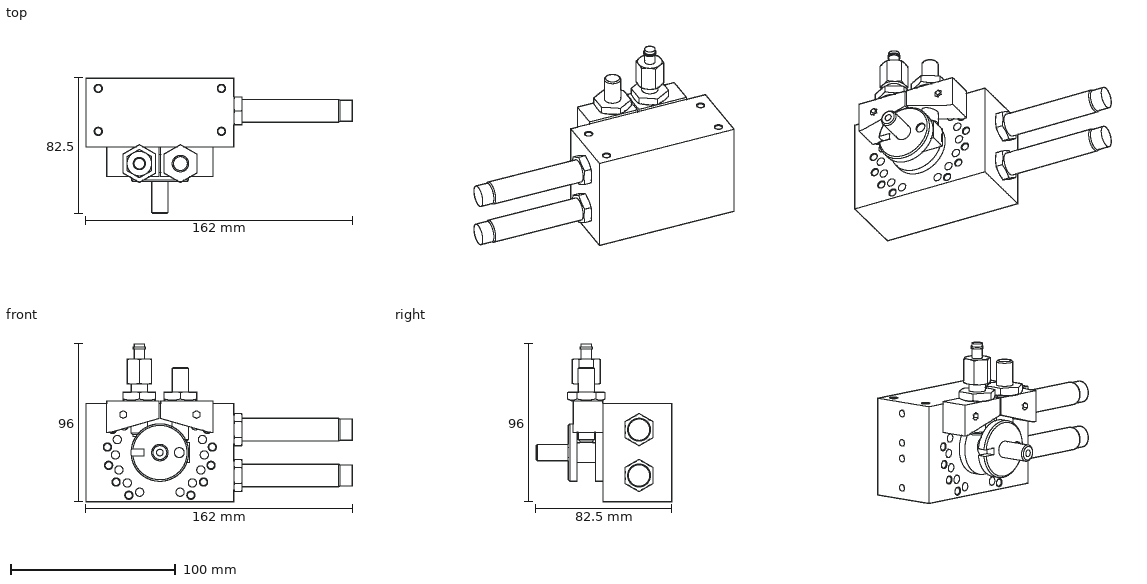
import cadquery as cq
import math


TOTAL_LENGTH = 162.0
TOTAL_DEPTH = 82.5
TOTAL_HEIGHT = 96.0

BLOCK_LENGTH = 90.0
BLOCK_DEPTH = 42.0
BLOCK_HEIGHT = 60.0
BLOCK_RIGHT = BLOCK_LENGTH / 2
BLOCK_TOP = BLOCK_HEIGHT / 2

DISC_DIAMETER = 35.0
REAR_DISC_THICKNESS = 4.5
FRONT_DISC_BACK = 15.5
FRONT_DISC_FRONT = 21.0
DISC_CHAMFER = 1.0
HUB_DIAMETER = 12.2
ARM_REACH = 18.0
SHAFT_DIAMETER = 10.0
SHAFT_TIP = TOTAL_DEPTH - BLOCK_DEPTH
END_CHAMFER = 0.8
CENTRE_HOLE_DIAMETER = 4.0
CENTRE_HOLE_DEPTH = 9.7
SLOT_WIDTH = 4.0
SLOT_INNER_END = 9.5
PIN_RECESS_DIAMETER = 6.0
PIN_RECESS_DEPTH = 1.0
PIN_RECESS_OFFSET = 11.8

HOLDER_DEPTH = 18.0
HOLDER_TOP = 31.5
HOLDER_OUTER_X = 32.4
HOLDER_GAP = 1.0
HOLDER_OUTER_BOTTOM = 12.3
HOLDER_INNER_BOTTOM = 20.7
HOLDER_SLOPE = 16.0
SOCKET_WIDTH = 4.0
SOCKET_DEPTH = 3.2

STOP_X = 12.5
STOP_Y = -10.0
STOP_DIAMETER = 10.0
STOP_NOSE_DIAMETER = 8.0
STOP_NOSE_LENGTH = 2.0
NOSE_CONE_LENGTH = 1.0
RIGHT_STOP_TIP = HUB_DIAMETER / 2
LEFT_STOP_TIP = 9.9
RIGHT_STOP_TOP = 51.8
LOCK_NUT_WIDTH = 20.0
LOCK_NUT_TOP = 36.8
LOCK_NUT_SEAT_DIAMETER = 18.0
LOCK_NUT_SEAT_CHAMFER = 1.1
LOCK_NUT_TOP_CHAMFER = 0.2

FITTING_WIDTH = 14.9
FITTING_BOTTOM = 41.6
FITTING_TOP = 57.0
FITTING_CHAMFER = 0.5
TUBE_DIAMETER = 6.5
TUBE_TOP = TOTAL_HEIGHT - BLOCK_TOP
COLLAR_DIAMETER = 7.5
COLLAR_BOTTOM = 63.0
COLLAR_TOP = 64.2

CYLINDER_Y = 22.0
CYLINDER_Z = 14.0
ABSORBER_DIAMETER = 14.0
ABSORBER_CAP_DIAMETER = 13.0
ABSORBER_CAP_LENGTH = 7.5
ABSORBER_CONE_LENGTH = 1.0
ABSORBER_TIP = TOTAL_LENGTH - BLOCK_RIGHT
ABSORBER_NUT_WIDTH = 17.0
ABSORBER_NUT_THICKNESS = 5.0
ABSORBER_NUT_CHAMFER = 0.3
SPANNER_HOLE_DIAMETER = 4.0
SPANNER_HOLE_DEPTH = 4.0
SPANNER_HOLE_OFFSET = 9.0

THREAD_DIAMETER = 5.0
TAP_DIAMETER = 4.2
THREAD_COUNTERSINK_DEPTH = (THREAD_DIAMETER - TAP_DIAMETER) / 2
TAP_DEPTH = 9.7
DOWEL_DIAMETER = 5.0
DOWEL_DEPTH = 8.1
THREAD_CIRCLE_RADIUS = 32.0
THREAD_ANGLES = (26, 6, -14, -34, -54)
HOLDER_SCREW_ANGLE = 46
DOWEL_CIRCLE_RADIUS = 27.0
DOWEL_ANGLES = (37, 17, -3, -23, -43, -63)
TOP_HOLE_X = 37.5
TOP_HOLE_YS = (9.5, 35.6)
DRILL_POINT_ANGLE = 118.0

FRONT = cq.Vector(0, -1, 0)
BACK = cq.Vector(0, 1, 0)
RIGHT = cq.Vector(1, 0, 0)
UP = cq.Vector(0, 0, 1)
DOWN = cq.Vector(0, 0, -1)


def rod(diameter, length, start, direction):
    """Plain cylinder from start along direction."""
    return cq.Workplane(cq.Solid.makeCylinder(diameter / 2, length, cq.Vector(*start), direction))


def cone(start_diameter, end_diameter, length, start, direction):
    """Truncated or pointed cone from start along direction."""
    return cq.Workplane(
        cq.Solid.makeCone(start_diameter / 2, end_diameter / 2, length, cq.Vector(*start), direction)
    )


def drilled_hole(diameter, depth, start, direction):
    """Cutter for a blind hole with a drill point."""
    point_length = diameter / 2 / math.tan(math.radians(DRILL_POINT_ANGLE / 2))
    bottom = cq.Vector(*start) + direction * depth
    point = cone(diameter, 0, point_length, bottom.toTuple(), direction)
    return rod(diameter, depth, start, direction).union(point)


def threaded_hole(start, direction):
    """Cutter for a tapped hole with a countersunk mouth."""
    mouth = cone(THREAD_DIAMETER, TAP_DIAMETER, THREAD_COUNTERSINK_DEPTH, start, direction)
    return drilled_hole(TAP_DIAMETER, TAP_DEPTH, start, direction).union(mouth)


def hex_corners(width):
    """Across-corners size of a hexagon from its across-flats size."""
    return width / math.cos(math.pi / 6)


def hex_prism(width, length, start, direction, corner_direction, start_face, end_face):
    """Hexagonal prism with conical corner chamfers.

    start_face and end_face are each a pair: flat diameter left on the face, chamfer height.
    """
    corners = hex_corners(width)
    plane = cq.Plane(origin=start, xDir=corner_direction, normal=direction)
    prism = cq.Workplane(plane).polygon(6, corners).extrude(length)
    start_flat, start_height = start_face
    end_flat, end_height = end_face
    middle_start = (cq.Vector(*start) + direction * start_height).toTuple()
    end = (cq.Vector(*start) + direction * length).toTuple()
    envelope = (
        rod(corners, length - start_height - end_height, middle_start, direction)
        .union(cone(start_flat, corners, start_height, start, direction))
        .union(cone(end_flat, corners, end_height, end, direction * -1))
    )
    return prism.intersect(envelope)


def on_circle(radius, angle, side):
    """Point of the front face at an angle above the horizontal; side is +1 right, -1 left."""
    angle = math.radians(angle)
    return (side * radius * math.cos(angle), 0, radius * math.sin(angle))



def make_block():
    block = cq.Workplane("XY").box(
        BLOCK_LENGTH, BLOCK_DEPTH, BLOCK_HEIGHT, centered=(True, False, True)
    )
    for side in (-1, 1):
        for angle in THREAD_ANGLES:
            block = block.cut(threaded_hole(on_circle(THREAD_CIRCLE_RADIUS, angle, side), BACK))
        for angle in DOWEL_ANGLES:
            start = on_circle(DOWEL_CIRCLE_RADIUS, angle, side)
            block = block.cut(rod(DOWEL_DIAMETER, DOWEL_DEPTH, start, BACK))
        for y in TOP_HOLE_YS:
            block = block.cut(threaded_hole((side * TOP_HOLE_X, y, BLOCK_TOP), DOWN))
    for cylinder_z in (-CYLINDER_Z, CYLINDER_Z):
        for offset in (-SPANNER_HOLE_OFFSET, SPANNER_HOLE_OFFSET):
            start = (-BLOCK_RIGHT, CYLINDER_Y, cylinder_z + offset)
            block = block.cut(rod(SPANNER_HOLE_DIAMETER, SPANNER_HOLE_DEPTH, start, RIGHT))
    return block


def make_holder(side):
    """Stop holder with a sloped underside and a screw socket in its front face."""
    rise = HOLDER_INNER_BOTTOM - HOLDER_OUTER_BOTTOM
    inner_x = HOLDER_GAP / 2
    slope_end_x = inner_x + rise / math.tan(math.radians(HOLDER_SLOPE))
    outline = [
        (inner_x, HOLDER_TOP),
        (HOLDER_OUTER_X, HOLDER_TOP),
        (HOLDER_OUTER_X, HOLDER_OUTER_BOTTOM),
        (slope_end_x, HOLDER_OUTER_BOTTOM),
        (inner_x, HOLDER_INNER_BOTTOM),
    ]
    holder = (
        cq.Workplane("XZ")
        .polyline([(side * x, z) for x, z in outline])
        .close()
        .extrude(HOLDER_DEPTH)
    )
    x, _, z = on_circle(THREAD_CIRCLE_RADIUS, HOLDER_SCREW_ANGLE, side)
    socket_plane = cq.Plane(origin=(x, -HOLDER_DEPTH, z), xDir=UP, normal=BACK)
    socket = cq.Workplane(socket_plane).polygon(6, hex_corners(SOCKET_WIDTH)).extrude(SOCKET_DEPTH)
    return holder.cut(socket)


def make_lock_nut(x):
    """Hexagonal nut on top of a holder, seated on a round chamfered underside."""
    seat_face = (LOCK_NUT_SEAT_DIAMETER, LOCK_NUT_SEAT_CHAMFER)
    top_face = (LOCK_NUT_WIDTH, LOCK_NUT_TOP_CHAMFER)
    thickness = LOCK_NUT_TOP - HOLDER_TOP
    seat = (x, STOP_Y, HOLDER_TOP)
    return hex_prism(LOCK_NUT_WIDTH, thickness, seat, UP, BACK, seat_face, top_face)


def make_stop_screw(x, tip, top):
    """Upright stop screw with a narrower nose at its lower end."""
    shoulder = tip + STOP_NOSE_LENGTH
    body = rod(STOP_DIAMETER, top - shoulder, (x, STOP_Y, shoulder), UP)
    taper = cone(STOP_DIAMETER, STOP_NOSE_DIAMETER, NOSE_CONE_LENGTH, (x, STOP_Y, shoulder), DOWN)
    nose = rod(STOP_NOSE_DIAMETER, STOP_NOSE_LENGTH, (x, STOP_Y, tip), UP)
    return body.union(taper).union(nose)


def make_fitting(x):
    """Hexagonal fitting carrying a tube stub with a collar."""
    face = (FITTING_WIDTH, FITTING_CHAMFER)
    base = (x, STOP_Y, FITTING_BOTTOM)
    fitting = hex_prism(FITTING_WIDTH, FITTING_TOP - FITTING_BOTTOM, base, UP, BACK, face, face)
    tube = rod(TUBE_DIAMETER, TUBE_TOP - FITTING_TOP, (x, STOP_Y, FITTING_TOP), UP)
    collar = rod(COLLAR_DIAMETER, COLLAR_TOP - COLLAR_BOTTOM, (x, STOP_Y, COLLAR_BOTTOM), UP)
    return fitting.union(tube).union(collar)


def make_absorber(z):
    """Shock absorber with its lock nut, standing out of the right end of the block."""
    face = (ABSORBER_NUT_WIDTH, ABSORBER_NUT_CHAMFER)
    seat = (BLOCK_RIGHT, CYLINDER_Y, z)
    nut = hex_prism(ABSORBER_NUT_WIDTH, ABSORBER_NUT_THICKNESS, seat, RIGHT, UP, face, face)
    cap_start = ABSORBER_TIP - ABSORBER_CAP_LENGTH
    cone_start = cap_start - ABSORBER_CONE_LENGTH
    body = rod(ABSORBER_DIAMETER, cone_start - BLOCK_RIGHT, seat, RIGHT)
    taper = cone(
        ABSORBER_DIAMETER, ABSORBER_CAP_DIAMETER, ABSORBER_CONE_LENGTH, (cone_start, CYLINDER_Y, z), RIGHT
    )
    cap = rod(ABSORBER_CAP_DIAMETER, ABSORBER_CAP_LENGTH, (cap_start, CYLINDER_Y, z), RIGHT)
    return nut.union(body).union(taper).union(cap)


def make_housing():
    housing = make_block()
    for side in (-1, 1):
        housing = housing.union(make_holder(side)).union(make_lock_nut(side * STOP_X))
    left_stop = make_stop_screw(-STOP_X, LEFT_STOP_TIP, FITTING_BOTTOM)
    right_stop = make_stop_screw(STOP_X, RIGHT_STOP_TIP, RIGHT_STOP_TOP).faces(">Z").chamfer(END_CHAMFER)
    housing = housing.union(left_stop).union(right_stop).union(make_fitting(-STOP_X))
    for z in (-CYLINDER_Z, CYLINDER_Z):
        housing = housing.union(make_absorber(z))
    return housing



def make_rotor():
    rear_disc = rod(DISC_DIAMETER, REAR_DISC_THICKNESS, (0, 0, 0), FRONT)
    front_disc = (
        rod(DISC_DIAMETER, FRONT_DISC_FRONT - FRONT_DISC_BACK, (0, -FRONT_DISC_BACK, 0), FRONT)
        .faces("<Y")
        .chamfer(DISC_CHAMFER)
    )
    shaft = rod(SHAFT_DIAMETER, SHAFT_TIP, (0, 0, 0), FRONT).faces("<Y").chamfer(END_CHAMFER)

    hub_length = FRONT_DISC_BACK - REAR_DISC_THICKNESS
    hub = rod(HUB_DIAMETER, hub_length, (0, -REAR_DISC_THICKNESS, 0), FRONT)
    arm = cq.Workplane("XY", origin=(0, -REAR_DISC_THICKNESS - hub_length / 2, 0)).box(
        ARM_REACH, hub_length, HUB_DIAMETER, centered=(False, True, True)
    )

    slot_length = DISC_DIAMETER / 2 - SLOT_INNER_END
    slot = cq.Workplane("XY", origin=(-DISC_DIAMETER / 2, -FRONT_DISC_FRONT, 0)).box(
        slot_length, FRONT_DISC_FRONT - FRONT_DISC_BACK, SLOT_WIDTH, centered=(False, False, True)
    )
    pin_recess = rod(PIN_RECESS_DIAMETER, PIN_RECESS_DEPTH, (PIN_RECESS_OFFSET, -FRONT_DISC_FRONT, 0), BACK)
    centre_hole = drilled_hole(CENTRE_HOLE_DIAMETER, CENTRE_HOLE_DEPTH, (0, -SHAFT_TIP, 0), BACK)

    rotor = rear_disc.union(front_disc).union(hub).union(arm).union(shaft)
    return rotor.cut(slot).cut(pin_recess).cut(centre_hole)


housing = make_housing()
rotor = make_rotor()

result = cq.Compound.makeCompound([housing.solids().val(), rotor.solids().val()])